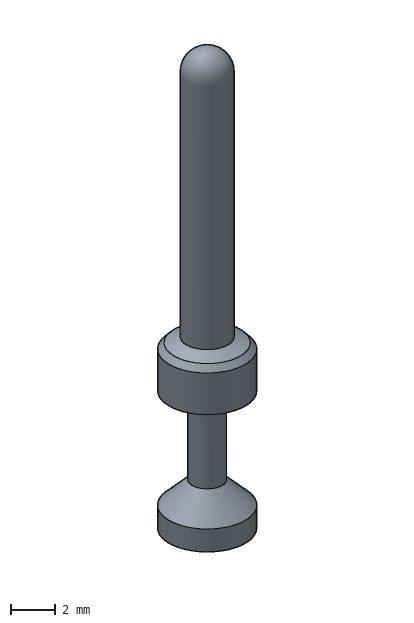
import cadquery as cq

total_length = 24.9
flange_diameter = 4.5

foot_disc_height = 1.2
foot_cone_top = 2.51
neck_diameter = 1.77

collar_bottom = 7.12
collar_edge = 9.3
bevel_width = 0.3
bevel_height = 0.32
pin_start = 9.94

pin_diameter = 2.47

flange_radius = flange_diameter / 2
neck_radius = neck_diameter / 2
pin_radius = pin_diameter / 2


def cylinder(radius, bottom, top):
    """Cylinder on the Z axis between two heights."""
    return cq.Workplane("XY").workplane(offset=bottom).circle(radius).extrude(top - bottom)


def make_foot():
    """Disc and cone at the bottom end."""
    return (
        cq.Workplane("XZ")
        .lineTo(flange_radius, 0)
        .lineTo(flange_radius, foot_disc_height)
        .lineTo(neck_radius, foot_cone_top)
        .lineTo(0, foot_cone_top)
        .close()
        .revolve(360, (0, 0), (0, 1))
    )


def make_collar():
    """Locating collar with a bevelled edge and a cone leading to the pin."""
    return (
        cq.Workplane("XZ")
        .moveTo(0, collar_bottom)
        .lineTo(flange_radius, collar_bottom)
        .lineTo(flange_radius, collar_edge)
        .lineTo(flange_radius - bevel_width, collar_edge + bevel_height)
        .lineTo(pin_radius, pin_start)
        .lineTo(0, pin_start)
        .close()
        .revolve(360, (0, 0), (0, 1))
    )


def make_pin():
    """Straight pin ending in a hemisphere."""
    tip_start = total_length - pin_radius
    shaft = cylinder(pin_radius, collar_edge, tip_start)
    tip = cq.Workplane("XY").sphere(pin_radius).translate((0, 0, tip_start))
    return shaft.union(tip)


neck = cylinder(neck_radius, foot_disc_height, collar_edge)
result = make_foot().union(neck).union(make_collar()).union(make_pin())